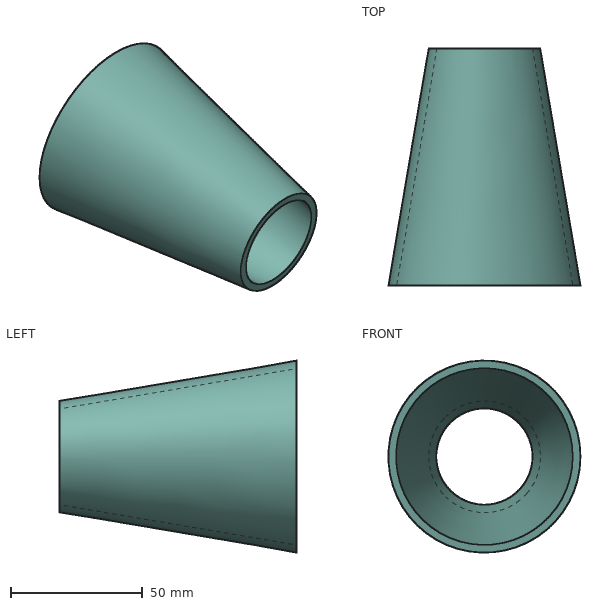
import cadquery as cq

length = 90.0
large_diameter = 73.0
small_diameter = 42.4
wall = 3.0

large_radius = large_diameter / 2
small_radius = small_diameter / 2

wall_section = (
    cq.Workplane("XY")
    .moveTo(large_radius - wall, 0)
    .lineTo(large_radius, 0)
    .lineTo(small_radius, length)
    .lineTo(small_radius - wall, length)
    .close()
)

result = wall_section.revolve(360, (0, 0, 0), (0, 1, 0))